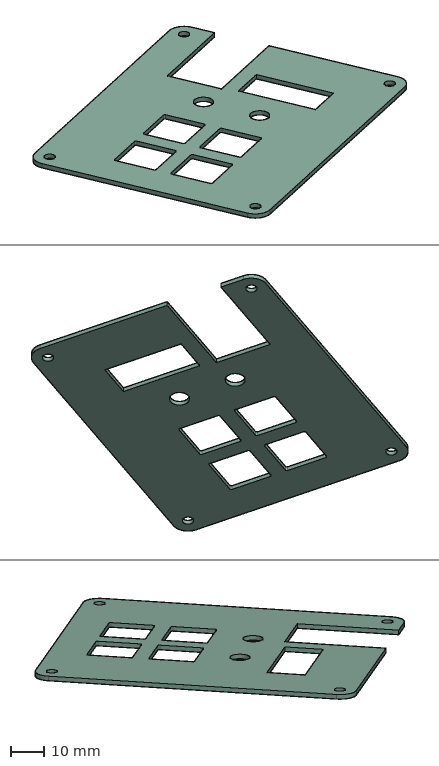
import cadquery as cq

plate_width = 79.6
plate_length = 98.6
plate_thickness = 1.5
corner_radius = 5.0

mount_hole_diameter = 3.4

notch_width = 18.3
notch_depth = 31.2
notch_center_x = -17.8

window_width = 26.0
window_height = 11.7
window_center = (9.5, 25.1)

key_size = 14.0
key_corner_radius = 0.5
key_pitch = 19.0
key_group_center = (0.0, -20.9)

round_hole_diameter = 6.0
round_pair_center = (-0.2, 8.2)


def make_plate():
    plate = cq.Workplane("XY").rect(plate_width, plate_length).extrude(plate_thickness)
    return plate.edges("|Z").fillet(corner_radius)


def rectangular_cutter(width, height, center):
    return cq.Workplane("XY").center(*center).rect(width, height).extrude(plate_thickness)


def mount_hole_cutter():
    spacing_x = plate_width - 2 * corner_radius
    spacing_y = plate_length - 2 * corner_radius
    centers = cq.Workplane("XY").rarray(spacing_x, spacing_y, 2, 2)
    return centers.circle(mount_hole_diameter / 2).extrude(plate_thickness)


def round_hole_cutter():
    centers = cq.Workplane("XY").center(*round_pair_center).rarray(key_pitch, key_pitch, 2, 1)
    return centers.circle(round_hole_diameter / 2).extrude(plate_thickness)


def key_cutter():
    centers = cq.Workplane("XY").center(*key_group_center).rarray(key_pitch, key_pitch, 2, 2)
    keys = centers.rect(key_size, key_size).extrude(plate_thickness)
    return keys.edges("|Z").fillet(key_corner_radius)


notch_center = (notch_center_x, (plate_length - notch_depth) / 2)

result = (
    make_plate()
    .cut(rectangular_cutter(notch_width, notch_depth, notch_center))
    .cut(rectangular_cutter(window_width, window_height, window_center))
    .cut(mount_hole_cutter())
    .cut(round_hole_cutter())
    .cut(key_cutter())
)